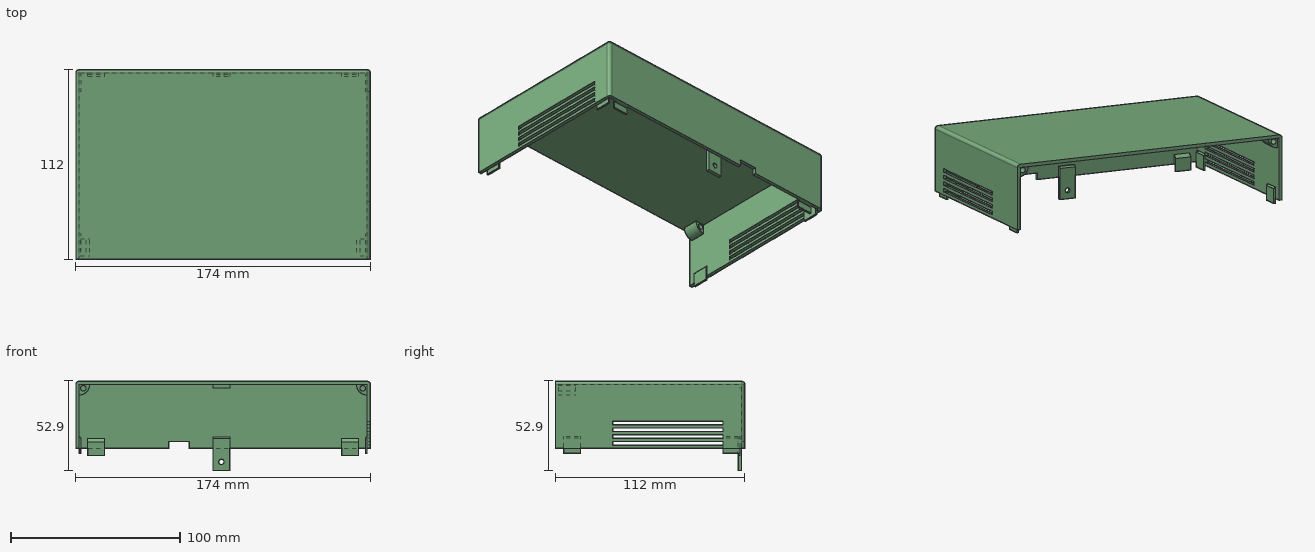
import cadquery as cq

WIDTH = 174.0
DEPTH = 112.0
TOTAL_HEIGHT = 52.9
WALL = 2.0
WALL_HEIGHT = 39.7
EDGE_RADIUS = 2.0

ROOF_UNDERSIDE = WALL_HEIGHT - WALL
SIDE_INNER = WIDTH / 2 - WALL
REAR_INNER = DEPTH - WALL

SLOT_COUNT = 4
SLOT_HEIGHT = 2.0
SLOT_PITCH = 4.0
SLOT_LENGTH = 65.0
SLOT_FIRST_Z = 2.0
SLOT_REAR_MARGIN = 13.0

NOTCH_WIDTH = 12.0
NOTCH_HEIGHT = 4.0
NOTCH_X = -26.0

CLIP_SIZE = 10.0
REAR_CLIP_X = 75.0
REAR_CLIP_DEPTH = 2.0
REAR_CLIP_GAP = 1.0
REAR_CLIP_TOP = 5.8
REAR_CLIP_BOTTOM = REAR_CLIP_TOP - CLIP_SIZE
SIDE_CLIP_DEPTH = 1.0
SIDE_CLIP_TOP = 7.0
SIDE_CLIP_BOTTOM = SIDE_CLIP_TOP - CLIP_SIZE
SIDE_CLIP_FRONT_Y = 10.0
SIDE_CLIP_REAR_SPACING = 1.0
SIDE_CLIP_REAR_Y = REAR_INNER - SIDE_CLIP_REAR_SPACING - CLIP_SIZE / 2

TAB_X = -1.0
TAB_THICKNESS = 2.0
TAB_CHAMFER = 1.0
TAB_LENGTH = 20.0
TAB_BOTTOM = WALL_HEIGHT - TOTAL_HEIGHT
TAB_TOP = TAB_BOTTOM + TAB_LENGTH
TAB_HOLE_DIAMETER = 3.0
TAB_HOLE_HEIGHT = 5.2

LIP_DROP = 2.0
LIP_DEPTH = 1.0

BOSS_RADIUS = 6.2
BOSS_FRONT_Y = 2.0
BOSS_LENGTH = 10.0
BOSS_HOLE_DIAMETER = 3.3
BOSS_HOLE_INSET_X = 2.5
BOSS_HOLE_INSET_Z = 2.2


def box(x_range, y_range, z_range):
    """Axis-aligned box given by its limits along each axis."""
    sizes = [high - low for low, high in (x_range, y_range, z_range)]
    corner = (x_range[0], y_range[0], z_range[0])
    return cq.Workplane("XY").box(*sizes, centered=False).translate(corner)


def span(centre, length):
    return (centre - length / 2, centre + length / 2)


def make_shell():
    """Roof, two side walls and rear wall, open at the front and below."""
    outer = box(span(0, WIDTH), (0, DEPTH), (0, WALL_HEIGHT))
    roof_edges = "(>Z and <X) or (>Z and >X) or (>Z and >Y)"
    rear_corners = "(>Y and <X) or (>Y and >X)"
    outer = outer.edges(f"{roof_edges} or {rear_corners}").fillet(EDGE_RADIUS)
    inner = box((-SIDE_INNER, SIDE_INNER), (0, REAR_INNER), (0, ROOF_UNDERSIDE))
    return outer.cut(inner)


def cut_slots(body):
    rear = DEPTH - SLOT_REAR_MARGIN
    for i in range(SLOT_COUNT):
        bottom = SLOT_FIRST_Z + i * SLOT_PITCH
        body = body.cut(box(span(0, WIDTH), (rear - SLOT_LENGTH, rear), (bottom, bottom + SLOT_HEIGHT)))
    return body


def cut_notch(body):
    return body.cut(box(span(NOTCH_X, NOTCH_WIDTH), (REAR_INNER, DEPTH), (0, NOTCH_HEIGHT)))


def make_clip(depth, slope, bottom, top):
    """Plate on a wall face at Y = 0, standing out towards -Y, with its top front edge cut at 45 degrees."""
    plate = box(span(0, CLIP_SIZE), (-depth, 0), (bottom, top))
    cutter = (
        cq.Workplane("YZ")
        .moveTo(-depth, top)
        .lineTo(-depth, top - slope)
        .lineTo(slope - depth, top)
        .close()
        .extrude(CLIP_SIZE / 2, both=True)
    )
    return plate.cut(cutter)


def make_rear_clip():
    """Clip whose hanging part stands clear of the wall plane by a gap."""
    clip = make_clip(REAR_CLIP_DEPTH, REAR_CLIP_DEPTH, REAR_CLIP_BOTTOM, REAR_CLIP_TOP)
    gap = box(span(0, CLIP_SIZE), (-REAR_CLIP_GAP, 0), (REAR_CLIP_BOTTOM, 0))
    return clip.cut(gap)


def add_clips(body):
    rear_clip = make_rear_clip()
    side_clip = make_clip(SIDE_CLIP_DEPTH, SIDE_CLIP_DEPTH, SIDE_CLIP_BOTTOM, SIDE_CLIP_TOP)
    for side in (-1, 1):
        body = body.union(rear_clip.translate((side * REAR_CLIP_X, REAR_INNER, 0)))
        turned = side_clip.rotate((0, 0, 0), (0, 0, 1), -90 * side)
        for y in (SIDE_CLIP_FRONT_Y, SIDE_CLIP_REAR_Y):
            body = body.union(turned.translate((side * SIDE_INNER, y, 0)))
    return body


def add_tab(body):
    tab = make_clip(TAB_THICKNESS, TAB_CHAMFER, TAB_BOTTOM, TAB_TOP).translate((TAB_X, REAR_INNER, 0))
    hole = (
        cq.Workplane("XZ", origin=(TAB_X, REAR_INNER, TAB_BOTTOM + TAB_HOLE_HEIGHT))
        .circle(TAB_HOLE_DIAMETER / 2)
        .extrude(TAB_THICKNESS)
    )
    return body.union(tab.cut(hole))


def add_lip(body):
    y_range = (REAR_INNER - LIP_DEPTH, REAR_INNER)
    return body.union(box(span(TAB_X, CLIP_SIZE), y_range, (ROOF_UNDERSIDE - LIP_DROP, ROOF_UNDERSIDE)))


def add_bosses(body):
    room = box((-SIDE_INNER, SIDE_INNER), (0, DEPTH), (0, ROOF_UNDERSIDE))
    back = cq.Workplane("XZ", origin=(0, BOSS_FRONT_Y + BOSS_LENGTH, 0))
    for side in (-1, 1):
        boss = back.center(side * SIDE_INNER, ROOF_UNDERSIDE).circle(BOSS_RADIUS).extrude(BOSS_LENGTH)
        hole_x = side * (SIDE_INNER - BOSS_HOLE_INSET_X)
        hole_z = ROOF_UNDERSIDE - BOSS_HOLE_INSET_Z
        hole = back.center(hole_x, hole_z).circle(BOSS_HOLE_DIAMETER / 2).extrude(BOSS_LENGTH)
        body = body.union(boss.intersect(room).cut(hole))
    return body


result = make_shell()
result = cut_slots(result)
result = cut_notch(result)
result = add_clips(result)
result = add_tab(result)
result = add_lip(result)
result = add_bosses(result)